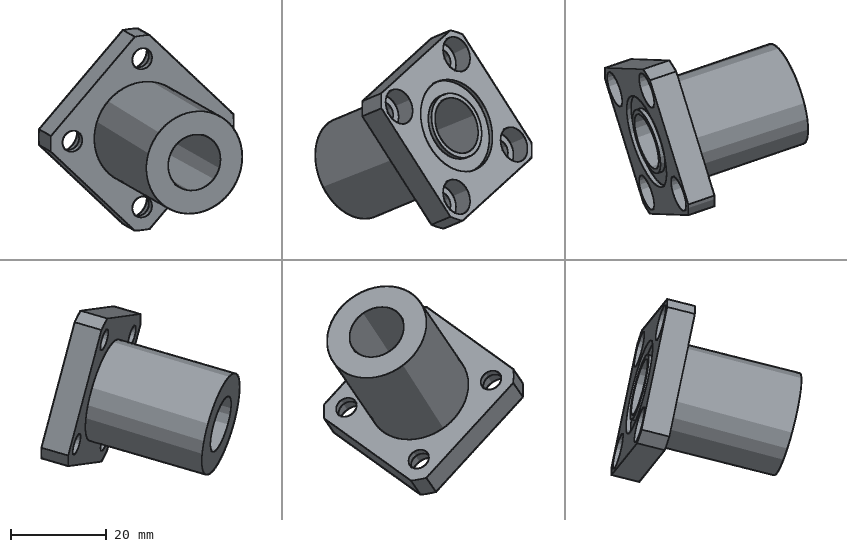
import cadquery as cq

flange_diameter = 42.0
flange_side = 32.0
flange_thickness = 6.0

total_length = 32.0
sleeve_diameter = 22.0
bore_diameter = 12.0

groove_inner_diameter = 14.0
groove_outer_diameter = 20.0
groove_depth = 1.0

bolt_circle_diameter = 32.0
bolt_hole_diameter = 4.5
counterbore_diameter = 7.5
counterbore_depth = 4.4
bolt_count = 4


def cylinder(diameter, length):
    """Solid cylinder on the X axis, running toward +X from the flange face."""
    return cq.Workplane("YZ").circle(diameter / 2).extrude(length)


def make_flange():
    square = (
        cq.Workplane("YZ")
        .rect(flange_side, flange_side)
        .extrude(flange_thickness)
        .rotate((0, 0, 0), (1, 0, 0), 45)
    )
    return square.intersect(cylinder(flange_diameter, flange_thickness))


def cut_face_groove(body):
    ring = cylinder(groove_outer_diameter, groove_depth).cut(
        cylinder(groove_inner_diameter, groove_depth)
    )
    return body.cut(ring)


def cut_bolt_holes(body):
    bolt_radius = bolt_circle_diameter / 2
    for diameter, depth in (
        (bolt_hole_diameter, flange_thickness),
        (counterbore_diameter, counterbore_depth),
    ):
        holes = (
            cq.Workplane("YZ")
            .polarArray(bolt_radius, 0, 360, bolt_count)
            .circle(diameter / 2)
            .extrude(depth)
        )
        body = body.cut(holes)
    return body


body = make_flange().union(cylinder(sleeve_diameter, total_length))
body = body.cut(cylinder(bore_diameter, total_length))
body = cut_face_groove(body)
result = cut_bolt_holes(body)